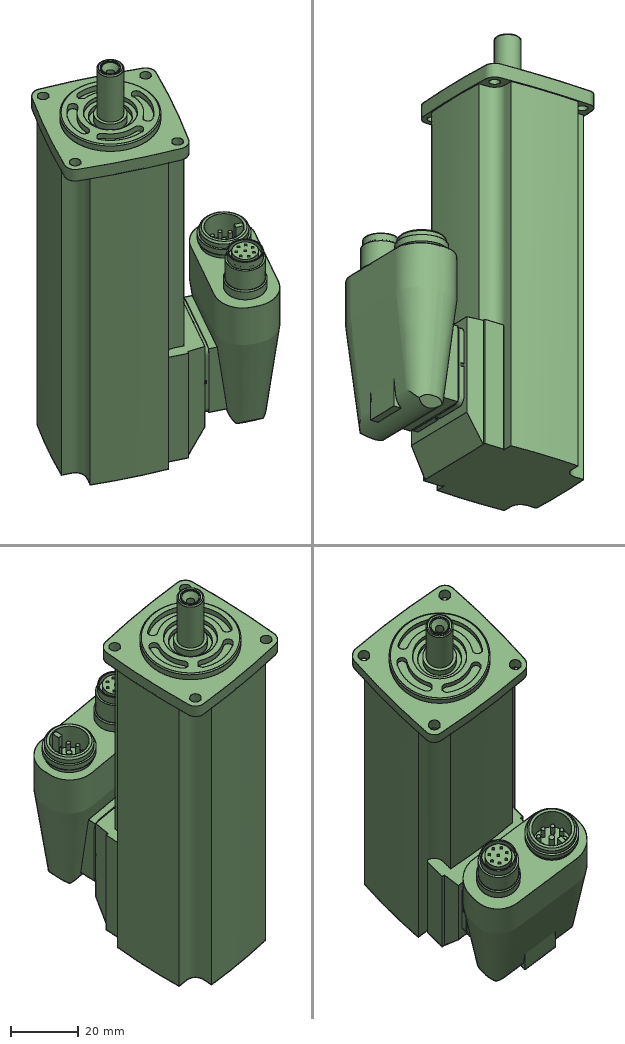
import cadquery as cq
import math

total_height = 144.0
shaft_diameter = 8.0
shaft_length = 17.5
pilot_diameter = 30.0
pilot_height = 2.5
flange_thickness = 4.5
cover_length = 41.0
cover_width = 20.0
total_depth = 68.42

pilot_top = total_height - shaft_length
flange_top = pilot_top - pilot_height
flange_bottom = flange_top - flange_thickness

flange_half = 19.8
flange_bow = 0.7
flange_corner_radius = 3.4
body_half = 19.4
body_bow = 0.9
notch_inset = 12.2
notch_radius = 3.6

mount_hole_diameter = 3.4
mount_circle_diameter = 45.0

recess_diameter = 16.0
recess_depth = 1.5
inner_recess_diameter = 13.0
inner_recess_depth = 3.0
collar_diameter = 10.0
collar_drop = 0.4
pilot_chamfer = 0.4
slot_radius = 11.4
slot_width = 3.0
slot_half_angle = 30.0
slot_depth = 2.0

shaft_chamfer = 0.4
center_bore_diameter = 6.0
center_bore_depth = 0.3
center_cone_diameter = 5.2
center_hole_diameter = 2.46
center_cone_depth = 2.0
center_hole_depth = 8.0

block_outer_y = 24.9
block_wall_y = 19.4
block_base_half = 15.85
block_relief = 0.5
block_shoulder_half = 15.0
block_outer_half = 14.3
block_top = 40.7
block_chamfer_height = 9.4

neck_z = 25.4
ring_size = 25.7
ring_outer_y = 26.7
ring_corner_radius = 2.6
ring_notch_width = 1.0
ring_notch_depth = 0.4
ring_notch_length = 1.0
neck_size = 24.8

cover_y = total_depth - flange_half - cover_width / 2
cover_top = 57.8
cover_taper_top = 43.3
cover_bottom = 7.4
cover_round_radius = 6.4
cover_end_chamfer = 2.5
cover_corner_radius = 8.9
cover_taper = 7.0
lug_width = 12.0
lug_outer_y = 45.5
lug_bottom = 9.0
lug_top = 18.0

connector_spacing = 21.0
power_thread_diameter = 14.77
power_collar_diameter = 16.0
power_height = 6.0
power_collar_bottom = 1.3
power_collar_chamfer = 0.4
power_collar_top = 3.8
power_edge_chamfer = 0.6
power_bore_diameter = 11.8
power_bore_depth = 9.0
power_pin_diameter = 1.25
power_pin_count = 8
power_pin_radius = 3.9
power_pin_height = 4.0
center_pin_diameter = 1.65
key_width = 1.5
key_depth = 2.5

signal_base_diameter = 13.0
signal_base_height = 3.4
signal_body_diameter = 12.0
signal_body_height = 10.8
signal_nose_diameter = 10.77
signal_height = 13.6
signal_edge_chamfer = 0.4
signal_bore_diameter = 10.0
signal_insert_diameter = 8.0
signal_groove_depth = 2.0
contact_diameter = 0.8
contact_depth = 3.0
contact_count = 7
contact_radius = 2.7
contact_first_angle = 5.0


def cylinder(diameter, bottom, top, x=0.0, y=0.0):
    """Upright cylinder between two heights."""
    return cq.Workplane("XY", origin=(x, y, bottom)).circle(diameter / 2).extrude(top - bottom)


def bowed_square(half, bow, bottom, top):
    """Square prism whose four sides bulge out by `bow`."""
    corner = half - bow
    return (
        cq.Workplane("XY", origin=(0, 0, bottom))
        .moveTo(corner, -corner)
        .threePointArc((half, 0), (corner, corner))
        .threePointArc((0, half), (-corner, corner))
        .threePointArc((-half, 0), (-corner, -corner))
        .threePointArc((0, -half), (corner, -corner))
        .close()
        .extrude(top - bottom)
    )


def make_body():
    """Motor housing: bowed square with a rounded notch along each corner."""
    body = bowed_square(body_half, body_bow, 0, flange_bottom)
    notch_size = body_half - notch_inset
    notch_center = notch_inset + notch_size / 2
    for x_side in (-1, 1):
        for y_side in (-1, 1):
            notch = (
                cq.Workplane("XY")
                .center(x_side * notch_center, y_side * notch_center)
                .rect(notch_size, notch_size)
                .extrude(flange_bottom)
            )
            inner_corner = (x_side * notch_inset, y_side * notch_inset, flange_bottom / 2)
            notch = notch.edges(cq.NearestToPointSelector(inner_corner)).fillet(notch_radius)
            body = body.cut(notch)
    return body


def make_slot(angle):
    """Curved slot cutter centred at the given angle around the motor axis."""
    inner = slot_radius - slot_width / 2
    outer = slot_radius + slot_width / 2

    def at(radius, degrees):
        turn = math.radians(degrees)
        return (radius * math.cos(turn), radius * math.sin(turn))

    start = angle - slot_half_angle
    end = angle + slot_half_angle
    ring = (
        cq.Workplane("XY", origin=(0, 0, pilot_top - slot_depth))
        .moveTo(*at(inner, start))
        .lineTo(*at(outer, start))
        .threePointArc(at(outer, angle), at(outer, end))
        .lineTo(*at(inner, end))
        .threePointArc(at(inner, angle), at(inner, start))
        .close()
        .extrude(slot_depth)
    )
    for end_angle in (start, end):
        x, y = at(slot_radius, end_angle)
        ring = ring.union(cylinder(slot_width, pilot_top - slot_depth, pilot_top, x, y))
    return ring


def make_flange():
    """Mounting flange with pilot, stepped recess, four curved slots and four holes."""
    flange = bowed_square(flange_half, flange_bow, flange_bottom, flange_top)
    flange = flange.edges("|Z").fillet(flange_corner_radius)
    hole_pitch = mount_circle_diameter / math.sqrt(2)
    flange = flange.faces(">Z").workplane(origin=(0, 0, flange_top))
    flange = flange.rect(hole_pitch, hole_pitch, forConstruction=True).vertices().hole(mount_hole_diameter)
    pilot = cylinder(pilot_diameter, flange_top, pilot_top).faces(">Z").chamfer(pilot_chamfer)
    flange = flange.union(pilot)
    flange = flange.cut(cylinder(recess_diameter, pilot_top - recess_depth, pilot_top))
    flange = flange.cut(cylinder(inner_recess_diameter, pilot_top - inner_recess_depth, pilot_top))
    for quarter in range(4):
        flange = flange.cut(make_slot(quarter * 90))
    return flange


def make_shaft():
    """Output shaft with collar and stepped, countersunk centre hole."""
    recess_floor = pilot_top - inner_recess_depth
    shaft = cylinder(shaft_diameter, recess_floor, total_height).faces(">Z").chamfer(shaft_chamfer)
    shaft = shaft.union(cylinder(collar_diameter, recess_floor, pilot_top - collar_drop))
    center_hole = (
        cq.Workplane("XZ")
        .moveTo(0, total_height)
        .lineTo(center_bore_diameter / 2, total_height)
        .lineTo(center_bore_diameter / 2, total_height - center_bore_depth)
        .lineTo(center_cone_diameter / 2, total_height - center_bore_depth)
        .lineTo(center_hole_diameter / 2, total_height - center_cone_depth)
        .lineTo(center_hole_diameter / 2, total_height - center_hole_depth)
        .lineTo(0, total_height - center_hole_depth)
        .close()
        .revolve(360, (0, 0, 0), (0, 1, 0))
    )
    return shaft.cut(center_hole)


def make_terminal_block():
    """Block on the +Y side that fills the notches and slopes away at its lower end."""
    half_outline = [
        (block_base_half - block_relief, notch_inset),
        (block_base_half, notch_inset + block_relief),
        (block_base_half, block_wall_y),
        (block_shoulder_half, block_wall_y),
        (block_outer_half, block_outer_y),
    ]
    mirrored = [(-x, y) for x, y in reversed(half_outline)]
    block = cq.Workplane("XY").polyline(half_outline + mirrored).close().extrude(block_top)
    slope = (
        cq.Workplane("YZ")
        .polyline([(block_wall_y, 0), (block_outer_y, 0), (block_outer_y, block_chamfer_height)])
        .close()
        .extrude(block_base_half, both=True)
    )
    return block.cut(slope)


def square_along_y(size, start_y, end_y):
    """Square prism along Y, centred on the neck axis."""
    return cq.Workplane("XY").box(size, end_y - start_y, size).translate((0, (start_y + end_y) / 2, neck_z))


def make_neck():
    """Square neck with a rounded ring that has a small notch in each side."""
    ring = square_along_y(ring_size, block_outer_y, ring_outer_y).edges("|Y").fillet(ring_corner_radius)
    notch_y = block_outer_y + ring_notch_length / 2
    for quarter in range(4):
        notch = (
            cq.Workplane("XY")
            .box(ring_notch_width, ring_notch_length, 2 * ring_notch_depth)
            .translate((0, notch_y, ring_size / 2))
            .rotate((0, 0, 0), (0, 1, 0), 90 * quarter)
            .translate((0, 0, neck_z))
        )
        ring = ring.cut(notch)
    return ring.union(square_along_y(neck_size, ring_outer_y, cover_y))


def make_cover():
    """Connector cover: straight upper part and a tapered lower part with a rounded, bevelled bottom."""
    shrink = (cover_taper_top - cover_bottom) * math.tan(math.radians(cover_taper))

    def outline(z, inset):
        """Rounded outline of the cover at height z, moved inward by `inset`."""
        shape = cq.Sketch().rect(cover_length - 2 * inset, cover_width - 2 * inset)
        shape = shape.vertices().fillet(cover_corner_radius - inset)
        return shape.reset().faces().val().outerWire().translate(cq.Vector(0, cover_y, z))

    levels = [outline(cover_top, 0), outline(cover_taper_top, 0), outline(cover_bottom, shrink)]
    shell = cq.Workplane(cq.Solid.makeLoft(levels, True))

    round_z = cover_bottom + cover_round_radius
    below_round = (
        cq.Workplane("YZ")
        .moveTo(cover_y - cover_round_radius, round_z)
        .threePointArc((cover_y, cover_bottom), (cover_y + cover_round_radius, round_z))
        .lineTo(cover_y + cover_width, round_z)
        .lineTo(cover_y + cover_width, 0)
        .lineTo(cover_y - cover_width, 0)
        .lineTo(cover_y - cover_width, round_z)
        .close()
        .extrude(cover_length / 2, both=True)
    )
    shell = shell.cut(below_round)

    end_x = cover_length / 2 - shrink
    for side in (-1, 1):
        bevel = (
            cq.Workplane("XZ", origin=(0, cover_y, 0))
            .moveTo(side * (end_x - cover_end_chamfer), cover_bottom)
            .lineTo(side * (end_x + cover_end_chamfer), cover_bottom)
            .lineTo(side * (end_x + cover_end_chamfer), cover_bottom + 2 * cover_end_chamfer)
            .close()
            .extrude(cover_width / 2, both=True)
        )
        shell = shell.cut(bevel)
    lug = (
        cq.Workplane("XY", origin=(0, 0, lug_bottom))
        .center(0, (cover_y + lug_outer_y) / 2)
        .rect(lug_width, lug_outer_y - cover_y)
        .extrude(lug_top - lug_bottom)
    )
    return shell.union(lug)


def circle_points(count, radius, first_angle, x, y):
    """Points spread evenly around a circle centred at (x, y)."""
    angles = [math.radians(first_angle + 360 * i / count) for i in range(count)]
    return [(x + radius * math.cos(a), y + radius * math.sin(a)) for a in angles]


def add_power_connector(part, x):
    """Open socket with outer collar, inner key and contact pins."""
    top = cover_top + power_height
    floor = top - power_bore_depth
    shell = cylinder(power_thread_diameter, cover_top, top, x, cover_y).faces(">Z").chamfer(power_edge_chamfer)
    collar_low = cover_top + power_collar_bottom
    collar_high = cover_top + power_collar_top
    collar = cylinder(power_collar_diameter, collar_low, collar_high, x, cover_y)
    part = part.union(shell).union(collar.faces("<Z").chamfer(power_collar_chamfer))
    part = part.cut(cylinder(power_bore_diameter, floor, top, x, cover_y))
    pin_top = floor + power_pin_height
    for pin_x, pin_y in circle_points(power_pin_count, power_pin_radius, 0, x, cover_y):
        part = part.union(cylinder(power_pin_diameter, floor, pin_top, pin_x, pin_y))
    part = part.union(cylinder(center_pin_diameter, floor, pin_top, x, cover_y))
    bore_radius = power_bore_diameter / 2
    key = (
        cq.Workplane("XY", origin=(x, cover_y + bore_radius - key_depth / 2, floor))
        .rect(key_width, key_depth)
        .extrude(power_bore_depth - power_edge_chamfer)
    )
    return part.union(key)


def add_signal_connector(part, x):
    """Stepped round plug with a grooved face and contact holes."""
    top = cover_top + signal_height
    base = cylinder(signal_base_diameter, cover_top, cover_top + signal_base_height, x, cover_y)
    body = cylinder(signal_body_diameter, cover_top, cover_top + signal_body_height, x, cover_y)
    nose = cylinder(signal_nose_diameter, cover_top, top, x, cover_y)
    part = part.union(base.faces(">Z").chamfer(signal_edge_chamfer)).union(body).union(nose)
    groove = cylinder(signal_bore_diameter, top - signal_groove_depth, top, x, cover_y)
    groove = groove.cut(cylinder(signal_insert_diameter, top - signal_groove_depth, top, x, cover_y))
    part = part.cut(groove)
    ring = circle_points(contact_count, contact_radius, contact_first_angle, x, cover_y)
    for hole_x, hole_y in ring + [(x, cover_y)]:
        part = part.cut(cylinder(contact_diameter, top - contact_depth, top, hole_x, hole_y))
    return part


result = make_body().union(make_flange()).union(make_shaft()).union(make_terminal_block())
result = result.union(make_neck()).union(make_cover())
result = add_power_connector(result, -connector_spacing / 2)
result = add_signal_connector(result, connector_spacing / 2)